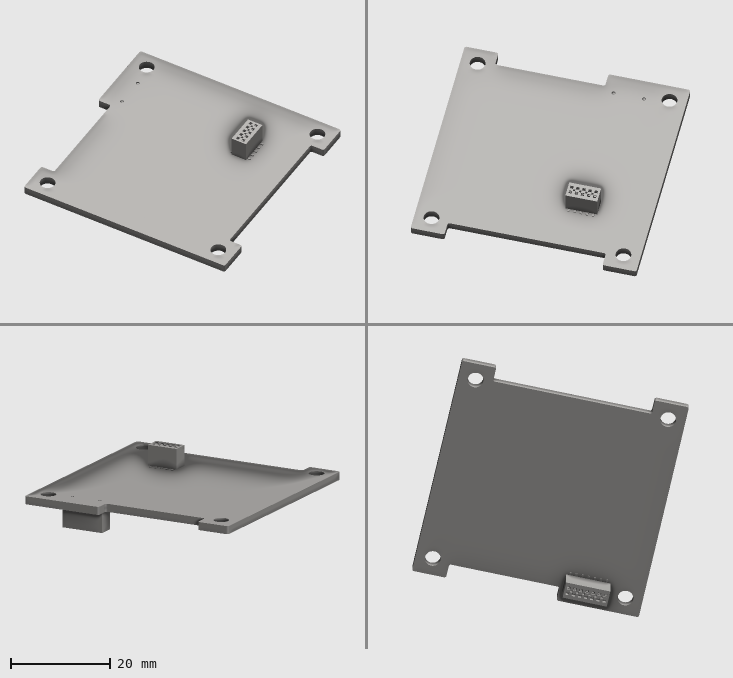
import cadquery as cq

OVERALL_HEIGHT = 10.7

BOARD_SIDE = 46.8
BOARD_THICKNESS = 1.7
CORNER_RADIUS = 0.4
NOTCH_DEPTH = 3.0
CORNER_TAB = 7.0
REAR_LEFT_TAB = 17.0
MOUNT_HOLE_DIAMETER = 3.2
MOUNT_HOLE_INSET = 3.5

PITCH = 1.25
HOUSING_WIDTH = 3.35
CONNECTOR_HEIGHT = (OVERALL_HEIGHT - BOARD_THICKNESS) / 2
STANDOFF = 0.2
LEG_SPAN = 4.6
LEG_WIDTH = 0.4
LEG_LAP = 0.55
END_MARGIN = 0.3

CORE_WIDTH = 2.5
CORE_HEIGHT = 2.8
CORE_TOP_DEPTH = 0.95

SOCKET_SIDE = 0.65
SOCKET_ROW_SPACING = 1.2
KEY_HOLE_SIDE = 0.4
FINGER_THICKNESS = 0.25
FINGER_WIDTH = 0.4
FINGER_TOP_DEPTH = 0.25

UPPER_CONTACTS = 5
UPPER_X = 9.75
UPPER_Y = 9.13

LOWER_CONTACTS = 7
LOWER_X = -19.05
LOWER_Y = 11.65
PEG_DIAMETER = 0.75
PEG_SPACING = 5 * PITCH
PEG_LENGTH = BOARD_THICKNESS

ROW_SIDES = (-1, 1)


def box(width, length, bottom, top):
    """Box centred on the Z axis between two heights."""
    return cq.Workplane("XY").workplane(offset=bottom).rect(width, length).extrude(top - bottom)


def housing_length(contacts):
    return contacts * PITCH + END_MARGIN


def contact_positions(count):
    """Y places of evenly pitched features, centred on the connector."""
    return [(i - (count - 1) / 2) * PITCH for i in range(count)]


def make_core(contacts):
    """Core running the whole housing length, with a finger rising into each socket."""
    top = CONNECTOR_HEIGHT - CORE_TOP_DEPTH
    core = box(CORE_WIDTH, housing_length(contacts), top - CORE_HEIGHT, top)
    finger_x = SOCKET_ROW_SPACING / 2 - SOCKET_SIDE / 2 + FINGER_THICKNESS / 2
    finger = box(FINGER_THICKNESS, FINGER_WIDTH, top, CONNECTOR_HEIGHT - FINGER_TOP_DEPTH)
    for side in ROW_SIDES:
        for y in contact_positions(contacts):
            core = core.union(finger.translate((side * finger_x, y, 0)))
    return core


def make_housing(contacts):
    """Housing standing on Z = 0, with its core tunnel, sockets, legs and key holes."""
    length = housing_length(contacts)
    core_top = CONNECTOR_HEIGHT - CORE_TOP_DEPTH
    housing = box(HOUSING_WIDTH, length, STANDOFF, CONNECTOR_HEIGHT)
    housing = housing.cut(box(CORE_WIDTH, length, core_top - CORE_HEIGHT, core_top))

    socket = box(SOCKET_SIDE, SOCKET_SIDE, core_top, CONNECTOR_HEIGHT)
    leg_length = (LEG_SPAN - HOUSING_WIDTH) / 2 + LEG_LAP
    leg = box(leg_length, LEG_WIDTH, 0, STANDOFF)
    for side in ROW_SIDES:
        for y in contact_positions(contacts):
            housing = housing.cut(socket.translate((side * SOCKET_ROW_SPACING / 2, y, 0)))
            housing = housing.union(leg.translate((side * (LEG_SPAN - leg_length) / 2, y, 0)))

    key_hole = box(KEY_HOLE_SIDE, KEY_HOLE_SIDE, core_top, CONNECTOR_HEIGHT)
    for y in contact_positions(contacts - 1):
        housing = housing.cut(key_hole.translate((0, y, 0)))
    return housing


def make_pegs():
    """Two round-nosed pegs reaching down from the housing underside."""
    radius = PEG_DIAMETER / 2
    nose_z = radius - PEG_LENGTH
    shank = cq.Workplane("XY").workplane(offset=STANDOFF).circle(radius).extrude(nose_z - STANDOFF)
    nose = cq.Workplane("XY").sphere(radius).translate((0, 0, nose_z))
    peg = shank.union(nose)
    return [peg.translate((0, side * PEG_SPACING / 2, 0)) for side in ROW_SIDES]


def place_upper(body):
    """Put a connector body on top of the board."""
    return body.translate((UPPER_X, UPPER_Y, BOARD_THICKNESS))


def place_lower(body):
    """Turn a connector body upside down and put it under the board."""
    return body.rotate((0, 0, 0), (0, 1, 0), 180).translate((LOWER_X, LOWER_Y, 0))


def make_board():
    """Notched board with four mounting holes and the two peg holes."""
    half = BOARD_SIDE / 2
    notch_x = half - NOTCH_DEPTH
    tab_y = half - CORNER_TAB
    rear_left_y = half - REAR_LEFT_TAB
    outline = [
        (-half, -half), (half, -half),
        (half, -tab_y), (notch_x, -tab_y), (notch_x, tab_y), (half, tab_y),
        (half, half), (-half, half),
        (-half, rear_left_y), (-notch_x, rear_left_y), (-notch_x, -tab_y), (-half, -tab_y),
    ]
    board = cq.Workplane("XY").polyline(outline).close().extrude(BOARD_THICKNESS)
    board = board.edges("|Z").fillet(CORNER_RADIUS)

    hole_spacing = BOARD_SIDE - 2 * MOUNT_HOLE_INSET
    mount_holes = (
        cq.Workplane("XY").rect(hole_spacing, hole_spacing, forConstruction=True).vertices()
        .circle(MOUNT_HOLE_DIAMETER / 2).extrude(BOARD_THICKNESS)
    )
    peg_holes = (
        cq.Workplane("XY").pushPoints([(LOWER_X, LOWER_Y + side * PEG_SPACING / 2) for side in ROW_SIDES])
        .circle(PEG_DIAMETER / 2).extrude(BOARD_THICKNESS)
    )
    return board.cut(mount_holes).cut(peg_holes)


board = make_board()

upper_housing = place_upper(make_housing(UPPER_CONTACTS))
upper_core = place_upper(make_core(UPPER_CONTACTS))

lower_housing = make_housing(LOWER_CONTACTS)
for peg in make_pegs():
    lower_housing = lower_housing.union(peg)
lower_housing = place_lower(lower_housing)
lower_core = place_lower(make_core(LOWER_CONTACTS))

result = cq.Compound.makeCompound([
    board.val(),
    upper_housing.val(),
    upper_core.val(),
    lower_housing.val(),
    lower_core.val(),
])